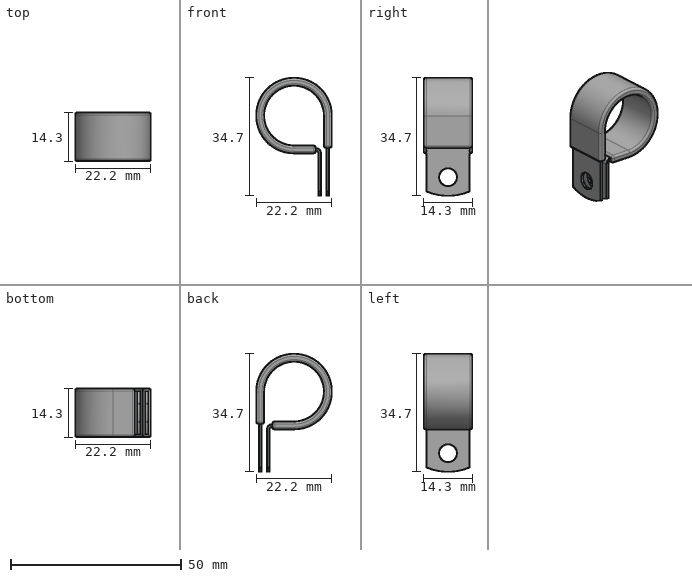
import cadquery as cq
import math


outer_diameter = 22.25
strap_thickness = 0.8
cushion_wall = 0.8
cushion_width = 14.29
cushion_edge_radius = 0.73
foot_length = 6.35
side_length = 9.5
tab_depth = 23.565
tab_end_rise = 1.32
hole_diameter = 5.16
hole_depth = 18.06
bend_inner_radius = 0.8

outer_radius = outer_diameter / 2
cushion_thickness = strap_thickness + 2 * cushion_wall
inner_radius = outer_radius - cushion_thickness
strap_outer_radius = outer_radius - cushion_wall
strap_inner_radius = strap_outer_radius - strap_thickness
strap_width = cushion_width - 2 * cushion_wall
bend_outer_radius = bend_inner_radius + strap_thickness
bend_center_z = -strap_inner_radius - bend_outer_radius
inner_tab_outer_x = foot_length + bend_outer_radius
inner_tab_inner_x = foot_length + bend_inner_radius


def upper_left_point(radius):
    """Middle of the 270 degree loop arc, as (x, z)."""
    offset = radius * math.cos(math.radians(45))
    return (-offset, offset)


def bend_mid_point(radius):
    """Middle of the quarter bend into the inner tab, as (x, z)."""
    offset = radius * math.cos(math.radians(45))
    return (foot_length + offset, bend_center_z + offset)


def centered_plane(width):
    """XZ plane at the +Y side of a body of this width; extrusion goes toward -Y."""
    return cq.Workplane("XZ", origin=(0, width / 2, 0))


def make_cushion():
    """Loop with a straight foot and a straight side, all edges rounded."""
    return (
        centered_plane(cushion_width)
        .moveTo(foot_length, -outer_radius)
        .lineTo(0, -outer_radius)
        .threePointArc(upper_left_point(outer_radius), (outer_radius, 0))
        .lineTo(outer_radius, -side_length)
        .lineTo(inner_radius, -side_length)
        .lineTo(inner_radius, 0)
        .threePointArc(upper_left_point(inner_radius), (0, -inner_radius))
        .lineTo(foot_length, -inner_radius)
        .close()
        .extrude(cushion_width)
        .edges()
        .fillet(cushion_edge_radius)
    )


def make_strap():
    """Constant-thickness strap: inner tab, bend, loop and outer tab."""
    return (
        centered_plane(strap_width)
        .moveTo(inner_tab_inner_x, -tab_depth)
        .lineTo(inner_tab_inner_x, bend_center_z)
        .threePointArc(bend_mid_point(bend_inner_radius), (foot_length, -strap_outer_radius))
        .lineTo(0, -strap_outer_radius)
        .threePointArc(upper_left_point(strap_outer_radius), (strap_outer_radius, 0))
        .lineTo(strap_outer_radius, -tab_depth)
        .lineTo(strap_inner_radius, -tab_depth)
        .lineTo(strap_inner_radius, 0)
        .threePointArc(upper_left_point(strap_inner_radius), (0, -strap_inner_radius))
        .lineTo(foot_length, -strap_inner_radius)
        .threePointArc(bend_mid_point(bend_outer_radius), (inner_tab_outer_x, bend_center_z))
        .lineTo(inner_tab_outer_x, -tab_depth)
        .close()
        .extrude(strap_width)
    )


def make_tab_end_trim():
    """Strap face outline with an arced lower end, deep enough in X to span the part."""
    half_width = strap_width / 2
    corner_z = -tab_depth + tab_end_rise
    return (
        cq.Workplane("YZ")
        .moveTo(-half_width, outer_radius)
        .lineTo(-half_width, corner_z)
        .threePointArc((0, -tab_depth), (half_width, corner_z))
        .lineTo(half_width, outer_radius)
        .close()
        .extrude(outer_radius, both=True)
    )


def make_bolt_hole():
    """Cylinder along X through both tabs."""
    return (
        cq.Workplane("YZ")
        .center(0, -hole_depth)
        .circle(hole_diameter / 2)
        .extrude(outer_radius)
    )


strap = make_strap().intersect(make_tab_end_trim()).cut(make_bolt_hole())
result = make_cushion().union(strap)